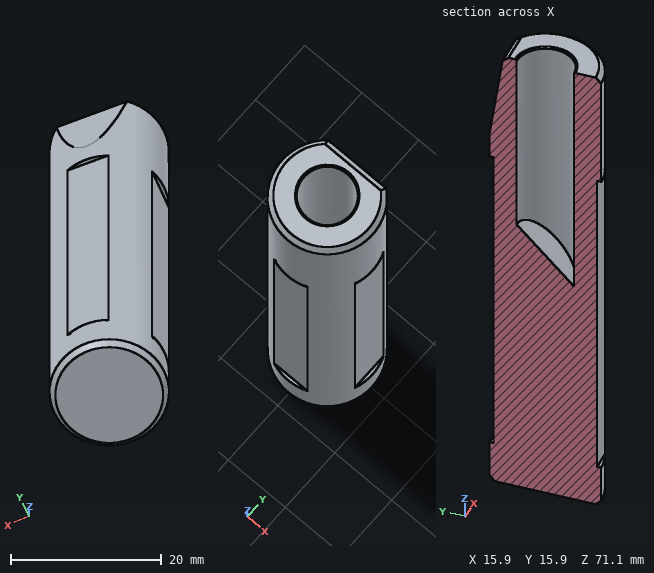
import cadquery as cq
import math

LENGTH = 71.1
DIAMETER = 15.85
RADIUS = DIAMETER / 2
END_CHAMFER = 0.8

BORE_DIAMETER = 8.1
BORE_DEPTH = 35.55
BORE_CHAMFER = 0.2
BORE_RADIUS = BORE_DIAMETER / 2

SLOPE_HEIGHT = 13.4
SLOPE_TOP_Y = 6.0

FLAT_COUNT = 4
FLAT_WIDTH = 5.8
FLAT_BOTTOM = 6.4
FLAT_LENGTH = 47.5
FLAT_DISTANCE = math.sqrt(RADIUS**2 - (FLAT_WIDTH / 2) ** 2)


def make_body():
    """Cylinder with the sloping relief, chamfered around both ends."""
    body = cq.Workplane("XY").circle(RADIUS).extrude(LENGTH)
    relief = (
        cq.Workplane("YZ")
        .moveTo(RADIUS, LENGTH - SLOPE_HEIGHT)
        .lineTo(SLOPE_TOP_Y, LENGTH)
        .lineTo(RADIUS, LENGTH)
        .close()
        .extrude(RADIUS, both=True)
    )
    return body.cut(relief).faces("<Z or >Z").edges().chamfer(END_CHAMFER)


def cut_bore(body):
    """Bore on the axis with a 45 degree floor and a small chamfer at its mouth."""
    floor_z = LENGTH - BORE_DEPTH
    profile = (
        cq.Workplane("YZ")
        .moveTo(-BORE_RADIUS, floor_z)
        .lineTo(BORE_RADIUS, floor_z + BORE_DIAMETER)
        .lineTo(BORE_RADIUS, LENGTH)
        .lineTo(-BORE_RADIUS, LENGTH)
        .close()
        .extrude(BORE_RADIUS, both=True)
    )
    bore = cq.Workplane("XY").circle(BORE_RADIUS).extrude(LENGTH).intersect(profile)
    mouth = cq.selectors.RadiusNthSelector(0)
    return body.cut(bore).faces(">Z").edges("%CIRCLE").edges(mouth).chamfer(BORE_CHAMFER)


def cut_flats(body):
    """Flats facing +X, +Y, -X and -Y."""
    cutter = cq.Workplane("XY").box(RADIUS, DIAMETER, FLAT_LENGTH, centered=(False, True, False))
    cutter = cutter.translate((FLAT_DISTANCE, 0, FLAT_BOTTOM))
    for index in range(FLAT_COUNT):
        body = body.cut(cutter.rotate((0, 0, 0), (0, 0, 1), index * 360 / FLAT_COUNT))
    return body


result = cut_flats(cut_bore(make_body()))